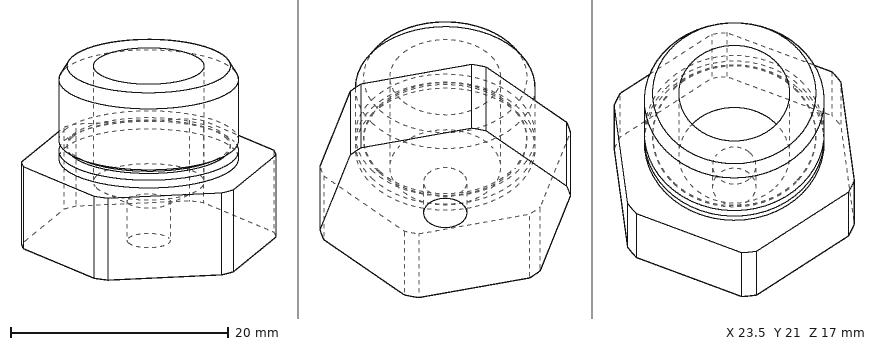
import cadquery as cq
import math

across_flats = 21.0
corner_diameter = 23.5
hex_height = 8.0
total_height = 17.0

spigot_diameter = 16.55
rim_depth = 0.75
rim_angle = math.radians(30)
rim_height = rim_depth / math.tan(rim_angle)

groove_offset = 0.75
groove_width = 1.0
groove_flank_depth = 0.75
groove_root_width = 0.2
groove_root_hollow = 0.02

bore_diameter = 10.2
hole_diameter = 3.97
bore_depth = 11.28
drill_point_angle = math.radians(118)


def make_base():
    """Hexagonal prism whose corners are turned down to a cylinder."""
    half_sector = math.pi / 6
    across_corners = across_flats / math.cos(half_sector)
    hexagon = cq.Workplane("XY").polygon(6, across_corners).extrude(hex_height)
    turned_blank = cq.Workplane("XY").circle(corner_diameter / 2).extrude(hex_height)
    return hexagon.intersect(turned_blank)


def revolve_about_z(profile):
    """Turn a closed half profile, drawn as radius against height, around the Z axis."""
    return profile.revolve(360, (0, 0), (0, 1))


def make_spigot():
    """Grooved spigot standing on the hexagonal base."""
    radius = spigot_diameter / 2
    rim_radius = radius - rim_depth
    flank_end_radius = radius - groove_flank_depth
    root_radius = flank_end_radius - groove_root_hollow

    groove_bottom = hex_height + groove_offset
    groove_middle = groove_bottom + groove_width / 2
    groove_top = groove_bottom + groove_width
    root_bottom = groove_middle - groove_root_width / 2
    root_top = groove_middle + groove_root_width / 2

    profile = (
        cq.Workplane("XZ")
        .moveTo(0, hex_height)
        .lineTo(radius, hex_height)
        .lineTo(radius, groove_bottom)
        .lineTo(flank_end_radius, root_bottom)
        .threePointArc((root_radius, groove_middle), (flank_end_radius, root_top))
        .lineTo(radius, groove_top)
        .lineTo(radius, total_height - rim_height)
        .lineTo(rim_radius, total_height)
        .lineTo(0, total_height)
        .close()
    )
    return revolve_about_z(profile)


def make_bore():
    """Stepped bore to cut away: wide cylinder, conical bottom and through hole."""
    bore_radius = bore_diameter / 2
    hole_radius = hole_diameter / 2
    cone_height = (bore_radius - hole_radius) / math.tan(drill_point_angle / 2)
    cone_top = total_height - bore_depth
    profile = (
        cq.Workplane("XZ")
        .lineTo(hole_radius, 0)
        .lineTo(hole_radius, cone_top - cone_height)
        .lineTo(bore_radius, cone_top)
        .lineTo(bore_radius, total_height)
        .lineTo(0, total_height)
        .close()
    )
    return revolve_about_z(profile)


result = make_base().union(make_spigot()).cut(make_bore())